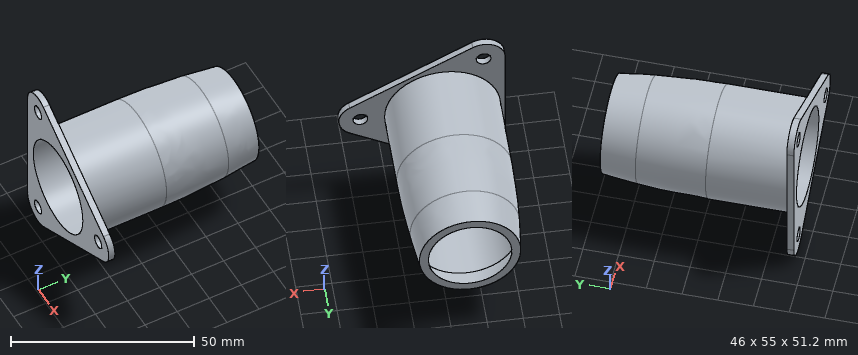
import cadquery as cq
import math

flange_thickness = 2.0
corner_radius = 6.0
hole_circle_radius = 22.65
hole_diameter = 4.0

total_length = 55.0
straight_end = 25.0
seam_position = 44.9
tube_radius = 32.0 / 2
bore_radius = 28.0 / 2
tip_radius = 28.0 / 2
tip_bore_radius = 23.0 / 2
cone_length = 6.0


def tube():
    """Solid tube body: a cylinder, then an arc tangent to it made of two faces."""
    run = total_length - straight_end
    drop = tube_radius - tip_radius
    arc_radius = (run**2 + drop**2) / (2 * drop)

    def arc_point(y):
        return (tube_radius - arc_radius + math.sqrt(arc_radius**2 - (y - straight_end) ** 2), y)

    profile = cq.Workplane("XY").lineTo(tube_radius, 0).lineTo(tube_radius, straight_end)
    for near, far in ((straight_end, seam_position), (seam_position, total_length)):
        profile = profile.threePointArc(arc_point((near + far) / 2), arc_point(far))
    return revolve_about_y(profile.lineTo(0, total_length))


def bore():
    """Through bore that narrows as a cone at the tip."""
    profile = (
        cq.Workplane("XY")
        .lineTo(bore_radius, 0)
        .lineTo(bore_radius, total_length - cone_length)
        .lineTo(tip_bore_radius, total_length)
        .lineTo(0, total_length)
    )
    return revolve_about_y(profile)


def revolve_about_y(profile):
    """Close a half profile along the Y axis and revolve it fully."""
    return profile.close().revolve(360, (0, 0, 0), (0, 1, 0))


def flange():
    """Equilateral plate with rounded corners and a hole at the centre of each corner."""
    sharp_radius = hole_circle_radius + 2 * corner_radius
    corner_angles = [math.radians(a) for a in (0, 120, 240)]

    def corners(radius):
        return [(radius * math.cos(a), radius * math.sin(a)) for a in corner_angles]

    plate = (
        cq.Workplane("XZ")
        .polyline(corners(sharp_radius))
        .close()
        .extrude(-flange_thickness)
        .edges("|Y")
        .fillet(corner_radius)
    )
    holes = (
        cq.Workplane("XZ")
        .pushPoints(corners(hole_circle_radius))
        .circle(hole_diameter / 2)
        .extrude(-flange_thickness)
    )
    return plate.cut(holes)


result = flange().union(tube()).cut(bore())